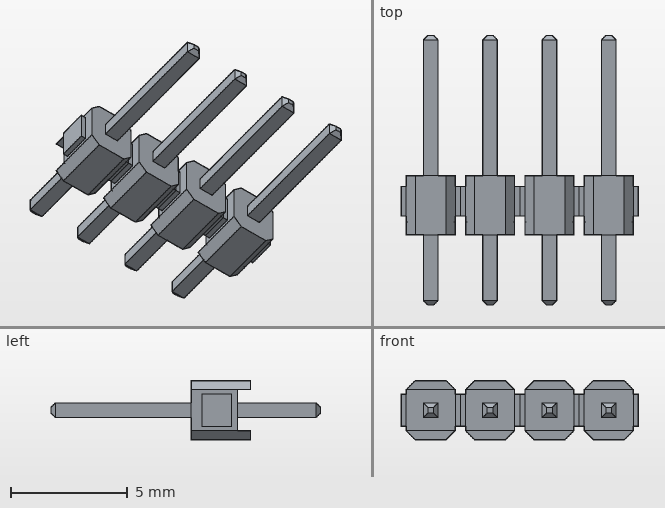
import cadquery as cq

unit_count = 4
pitch = 2.54

block_width = 2.1
block_height = 2.54
block_length = 2.54
bevel = 0.39
core_length = 1.98
core_height = block_height - 2 * bevel

pad_length = 1.27
pad_height = 1.37
pad_setback = 0.46

pin_width = 0.63
pin_front_reach = 3.0
pin_back_reach = 6.0
tip_length = 0.2
tip_width = pin_width - 2 * tip_length

block_back = block_length / 2
block_front = -block_length / 2
pin_back = block_back + pin_back_reach
pin_front = block_front - pin_front_reach


def y_box(width, height, front, back):
    """Box centred on the Y axis between two Y positions."""
    return cq.Workplane("XY").box(width, back - front, height).translate((0, (front + back) / 2, 0))


def make_block():
    """Octagonal block with the front end of its core cut back between the two bevelled lips."""
    half_width = block_width / 2
    half_height = block_height / 2
    half_flat = half_width - bevel
    half_core = core_height / 2
    octagon = [
        (-half_width, -half_core),
        (-half_flat, -half_height),
        (half_flat, -half_height),
        (half_width, -half_core),
        (half_width, half_core),
        (half_flat, half_height),
        (-half_flat, half_height),
        (-half_width, half_core),
    ]
    block = cq.Workplane("XZ").polyline(octagon).close().extrude(block_length / 2, both=True)
    front_recess = y_box(block_width, core_height, block_front, block_back - core_length)
    return block.cut(front_recess)


def make_pads():
    """One bar across the block; its ends stand out as the two side pads."""
    pad_back = block_back - pad_setback
    return y_box(pitch, pad_height, pad_back - pad_length, pad_back)


def make_tip(base_y, end_y):
    """Square pin end tapering from base_y to end_y."""
    toward_end = 1 if end_y > base_y else -1
    base_plane = cq.Plane(origin=(0, base_y, 0), xDir=(1, 0, 0), normal=(0, toward_end, 0))
    return (
        cq.Workplane(base_plane)
        .rect(pin_width, pin_width)
        .workplane(offset=tip_length)
        .rect(tip_width, tip_width)
        .loft(ruled=True)
    )


def make_pin():
    """Square pin with a tapered tip at each end."""
    shank_front = pin_front + tip_length
    shank_back = pin_back - tip_length
    shank = y_box(pin_width, pin_width, shank_front, shank_back)
    return shank.union(make_tip(shank_front, pin_front)).union(make_tip(shank_back, pin_back))


def make_header_unit(center_x):
    """One complete unit as a single solid."""
    unit = make_block().union(make_pads()).union(make_pin())
    return unit.translate((center_x, 0, 0))


first_center = -pitch * (unit_count - 1) / 2
header_units = [make_header_unit(first_center + index * pitch) for index in range(unit_count)]

result = cq.Compound.makeCompound([unit.solids().val() for unit in header_units])